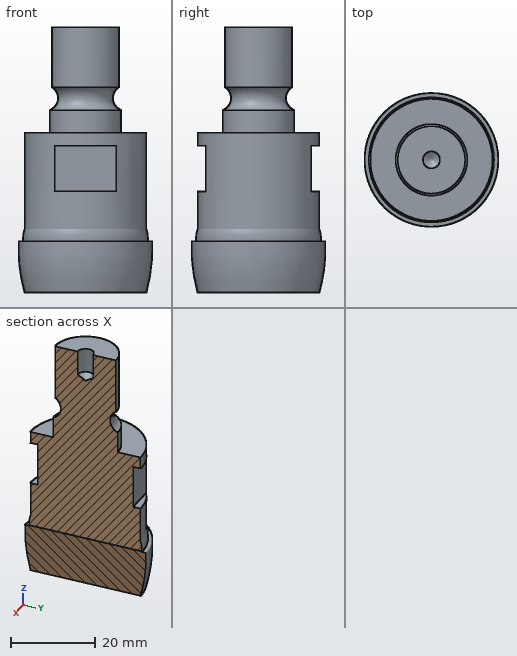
import cadquery as cq
import math

total_height = 62.95
cap_top = 12.2
bead_bottom = 12.95
bead_top = 15.05
barrel_top = 37.95
collar_top = 43.3
neck_top = 48.7

shank_radius = 8.0
collar_radius = 8.5
neck_radius = 6.55
barrel_radius = 14.5
bead_radius = 14.85
cap_radius = 15.9
cap_face_radius = 14.5

widest_height = 10.7
cap_edge_radius = 0.2

flat_distance = 12.5
flat_bottom = 24.0
flat_top = 34.8

hole_radius = 2.0
hole_depth = 6.3
drill_tip_angle = 118.0


def make_holder_blank():
    """Revolve the shank, necked groove, collar, barrel and rounded bead."""
    neck_middle = (collar_top + neck_top) / 2
    bead_height = bead_top - bead_bottom
    bead_step = bead_radius - barrel_radius
    arc_radius = (bead_height**2 + bead_step**2) / (2 * bead_step)
    half_height = bead_height / 2
    bead_mid_radius = bead_radius - arc_radius + math.sqrt(arc_radius**2 - half_height**2)
    profile = (
        cq.Workplane("XZ")
        .moveTo(0, cap_top)
        .lineTo(bead_radius, cap_top)
        .lineTo(bead_radius, bead_bottom)
        .threePointArc((bead_mid_radius, bead_bottom + half_height), (barrel_radius, bead_top))
        .lineTo(barrel_radius, barrel_top)
        .lineTo(collar_radius, barrel_top)
        .lineTo(collar_radius, collar_top)
        .threePointArc((neck_radius, neck_middle), (shank_radius, neck_top))
        .lineTo(shank_radius, total_height)
        .lineTo(0, total_height)
        .close()
    )
    return profile.revolve(360, (0, 0), (0, 1))


def make_flat_cutter(side):
    """Block that cuts one wrench flat; side is -1 or +1 along Y."""
    return cq.Workplane("XY").box(
        2 * barrel_radius, barrel_radius, flat_top - flat_bottom, centered=(True, True, False)
    ).translate((0, side * (flat_distance + barrel_radius / 2), flat_bottom))


def make_centre_hole():
    """Drilled blind hole with a conical bottom."""
    tip_depth = hole_radius / math.tan(math.radians(drill_tip_angle / 2))
    wall_bottom = total_height - hole_depth
    return (
        cq.Workplane("XZ")
        .moveTo(0, total_height)
        .lineTo(hole_radius, total_height)
        .lineTo(hole_radius, wall_bottom)
        .lineTo(0, wall_bottom - tip_depth)
        .close()
        .revolve(360, (0, 0), (0, 1))
    )


def make_holder():
    """Holder with its two opposite flats and the centre hole."""
    body = make_holder_blank().cut(make_centre_hole())
    for side in (-1, 1):
        body = body.cut(make_flat_cutter(side))
    return body


def make_cap():
    """Crowned cap with a barrel-shaped flank that curves in to the face."""
    face_inset = cap_radius - cap_face_radius
    crown_radius = (widest_height**2 + face_inset**2) / (2 * face_inset)
    edge_start = cap_top - cap_edge_radius
    rise = edge_start - widest_height
    edge_radius = cap_radius - crown_radius + math.sqrt(crown_radius**2 - rise**2)
    profile = (
        cq.Workplane("XZ")
        .lineTo(0, cap_top)
        .lineTo(edge_radius - cap_edge_radius, cap_top)
        .radiusArc((edge_radius, edge_start), cap_edge_radius)
        .threePointArc((cap_radius, widest_height), (cap_face_radius, 0))
        .close()
    )
    return profile.revolve(360, (0, 0), (0, 1))


holder = make_holder()
cap = make_cap()
result = cq.Compound.makeCompound([holder.val(), cap.val()])